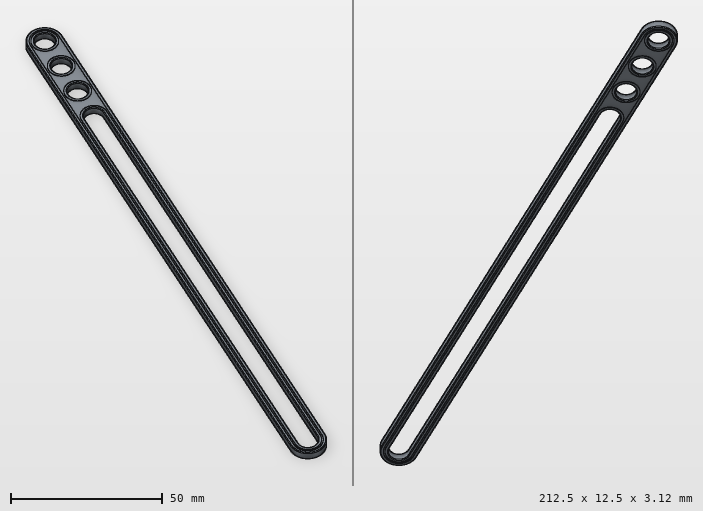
import cadquery as cq

pitch = 12.5
length_pitches = 17
hole_count = 3
bore_diameter = 7.0
rim_diameter = 9.2
recess_depth = 0.2
edge_chamfer = 0.3

bar_length = length_pitches * pitch
bar_width = pitch
thickness = pitch / 4
rim_width = (rim_diameter - bore_diameter) / 2
recess_width = bar_width - 2 * rim_width

top_z = thickness / 2
bottom_z = -top_z

left_center_x = (bar_width - bar_length) / 2
right_center_x = -left_center_x
hole_centers = [(left_center_x + i * pitch, 0) for i in range(hole_count)]
slot_start_x = left_center_x + hole_count * pitch


def rounded_bar(start_x, end_x, width, base_z, height):
    """Straight bar with full-round ends centred on start_x and end_x."""
    return (
        cq.Workplane("XY", origin=((start_x + end_x) / 2, 0, base_z))
        .slot2D(end_x - start_x + width, width)
        .extrude(height)
    )


def openings(diameter, base_z, height):
    """Solid shape of the hole row and the slot, all at the given diameter."""
    holes = (
        cq.Workplane("XY", origin=(0, 0, base_z))
        .pushPoints(hole_centers)
        .circle(diameter / 2)
        .extrude(height)
    )
    slot = rounded_bar(slot_start_x, right_center_x, diameter, base_z, height)
    return holes.union(slot)


def make_body():
    """Bar with through openings, every edge of both faces chamfered."""
    bar = rounded_bar(left_center_x, right_center_x, bar_width, bottom_z, thickness)
    bar = bar.cut(openings(bore_diameter, bottom_z, thickness))
    return bar.faces("|Z").edges().chamfer(edge_chamfer)


def face_recess(base_z):
    """Recess inside the outer rim that leaves a rim around each opening."""
    area = rounded_bar(left_center_x, right_center_x, recess_width, base_z, recess_depth)
    return area.cut(openings(rim_diameter, base_z, recess_depth))


result = make_body()
for recess_base_z in (bottom_z, top_z - recess_depth):
    result = result.cut(face_recess(recess_base_z))